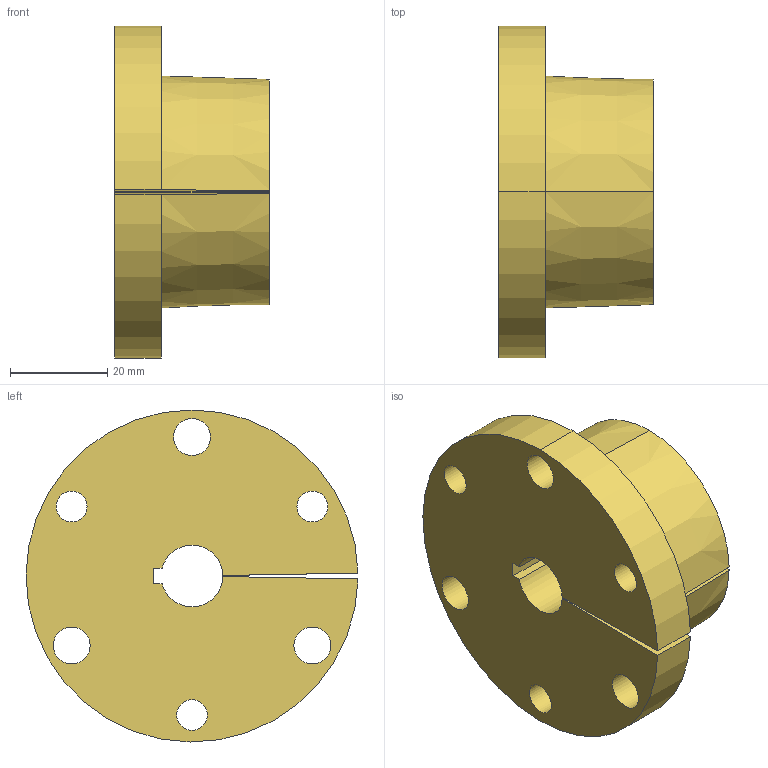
import cadquery as cq
import math

TOTAL_LENGTH = 31.75
FLANGE_DIAMETER = 68.2625
FLANGE_THICKNESS = 9.525

HUB_ROOT_DIAMETER = 47.7
HUB_TAPER_PER_LENGTH = 1 / 16
HUB_LENGTH = TOTAL_LENGTH - FLANGE_THICKNESS
HUB_END_DIAMETER = HUB_ROOT_DIAMETER - HUB_TAPER_PER_LENGTH * HUB_LENGTH

BORE_DIAMETER = 12.7
KEYWAY_WIDTH = 3.175
KEYWAY_DEPTH = KEYWAY_WIDTH / 2

BOLT_CIRCLE_DIAMETER = 57.15
HOLES_PER_SET = 3
CLEARANCE_HOLE_DIAMETER = 7.6
CLEARANCE_START_ANGLE = 90
JACK_HOLE_DIAMETER = 6.35
JACK_START_ANGLE = CLEARANCE_START_ANGLE + 180 / HOLES_PER_SET

SLIT_HALF_ANGLE = 1.0
SLIT_OVERCUT = 1.0
SLIT_OUTER_RADIUS = FLANGE_DIAMETER / 2 + SLIT_OVERCUT


def make_body():
    """Flange and tapered hub, revolved about the X axis."""
    flange_radius = FLANGE_DIAMETER / 2
    return (
        cq.Workplane("XZ")
        .moveTo(0, 0)
        .lineTo(0, flange_radius)
        .lineTo(FLANGE_THICKNESS, flange_radius)
        .lineTo(FLANGE_THICKNESS, HUB_ROOT_DIAMETER / 2)
        .lineTo(TOTAL_LENGTH, HUB_END_DIAMETER / 2)
        .lineTo(TOTAL_LENGTH, 0)
        .close()
        .revolve(360, (0, 0, 0), (1, 0, 0))
    )


def make_bore_with_keyway():
    """Through bore with a rectangular keyway on the +Y side."""
    keyway_reach = BORE_DIAMETER / 2 + KEYWAY_DEPTH
    bore = cq.Workplane("YZ").circle(BORE_DIAMETER / 2).extrude(TOTAL_LENGTH)
    keyway = (
        cq.Workplane("YZ")
        .center(keyway_reach / 2, 0)
        .rect(keyway_reach, KEYWAY_WIDTH)
        .extrude(TOTAL_LENGTH)
    )
    return bore.union(keyway)


def make_flange_holes(diameter, start_angle):
    """One set of evenly spaced holes through the flange."""
    return (
        cq.Workplane("YZ")
        .polarArray(BOLT_CIRCLE_DIAMETER / 2, start_angle, 360, HOLES_PER_SET)
        .circle(diameter / 2)
        .extrude(FLANGE_THICKNESS)
    )


def make_slit():
    """Full-length wedge that opens from the bore out to the rim."""
    half_width = SLIT_OUTER_RADIUS * math.tan(math.radians(SLIT_HALF_ANGLE))
    return (
        cq.Workplane("YZ")
        .moveTo(0, 0)
        .lineTo(-SLIT_OUTER_RADIUS, half_width)
        .lineTo(-SLIT_OUTER_RADIUS, -half_width)
        .close()
        .extrude(TOTAL_LENGTH)
    )


result = (
    make_body()
    .cut(make_bore_with_keyway())
    .cut(make_flange_holes(CLEARANCE_HOLE_DIAMETER, CLEARANCE_START_ANGLE))
    .cut(make_flange_holes(JACK_HOLE_DIAMETER, JACK_START_ANGLE))
    .cut(make_slit())
)